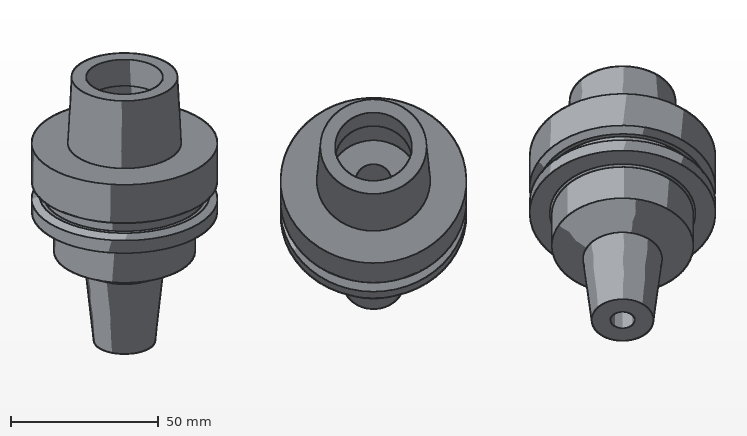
import cadquery as cq

total_height = 100.0
nose_top = 28.0
body_bottom = 34.0
flange_bottom = 49.0
flange_height = 26.0
flange_top = flange_bottom + flange_height
groove_bottom = 55.3
groove_height = 3.7
groove_top = groove_bottom + groove_height

nose_tip_radius = 10.5
nose_base_radius = 13.4
body_radius = 24.0
flange_radius = 31.5
groove_radius = 27.5
shank_base_diameter = 38.5
shank_base_radius = shank_base_diameter / 2
shank_tip_radius = 18.0

groove_bevel_height = 1.5
groove_bevel_width = 2.6
groove_bevel_radius = flange_radius - groove_bevel_width
body_flare = 0.7

through_hole_radius = 4.1
middle_bore_radius = 6.0
middle_bore_depth = 40.0
mouth_radius = 13.0
mouth_depth = 10.0
undercut_radius = 16.0
undercut_height = 9.7
undercut_floor_radius = 15.1
undercut_taper_height = 5.0

lip_height = total_height - mouth_depth
undercut_bottom = lip_height - undercut_height
undercut_floor = undercut_bottom - undercut_taper_height
middle_bore_floor = total_height - middle_bore_depth


def revolve_profile(points):
    """Revolve a (radius, height) outline about the Z axis."""
    return cq.Workplane("XZ").polyline(points).close().revolve(360, (0, 0, 0), (0, 1, 0))


def outer_body():
    """Nose, body, grooved flange and tapered shank as one solid of revolution."""
    return revolve_profile([
        (0, 0),
        (nose_tip_radius, 0),
        (nose_base_radius, nose_top),
        (body_radius, body_bottom),
        (body_radius, flange_bottom - body_flare),
        (body_radius + body_flare, flange_bottom),
        (flange_radius, flange_bottom),
        (flange_radius, groove_bottom - groove_bevel_height),
        (groove_bevel_radius, groove_bottom),
        (groove_radius, groove_bottom),
        (groove_radius, groove_top),
        (groove_bevel_radius, groove_top),
        (flange_radius, groove_top + groove_bevel_height),
        (flange_radius, flange_top),
        (shank_base_radius, flange_top),
        (shank_tip_radius, total_height),
        (0, total_height),
    ])


def stepped_bore():
    """Through hole, middle bore and undercut shank bore as one cutter."""
    return revolve_profile([
        (0, 0),
        (through_hole_radius, 0),
        (through_hole_radius, middle_bore_floor),
        (middle_bore_radius, middle_bore_floor),
        (middle_bore_radius, undercut_floor),
        (undercut_floor_radius, undercut_floor),
        (undercut_radius, undercut_bottom),
        (undercut_radius, lip_height),
        (mouth_radius, lip_height),
        (mouth_radius, total_height),
        (0, total_height),
    ])


result = outer_body().cut(stepped_bore())